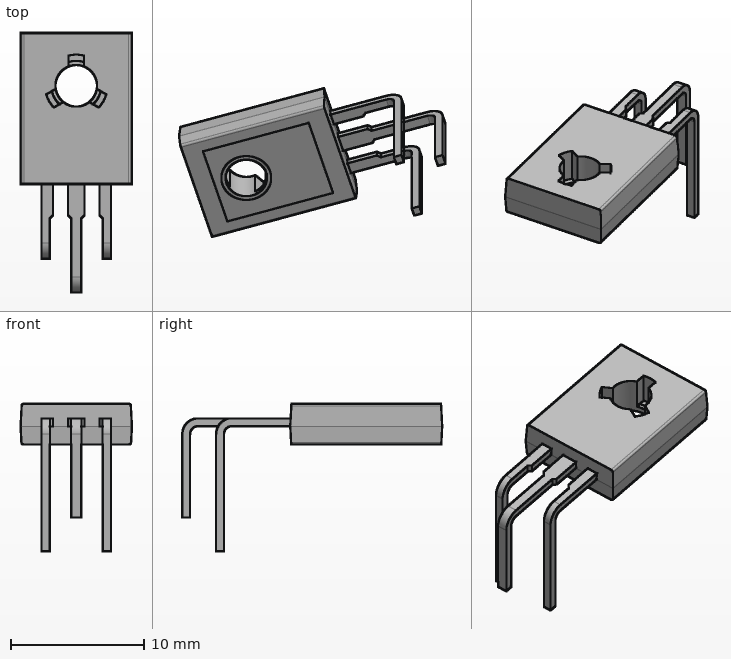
import cadquery as cq
import math

HOUSING_WIDTH = 8.38
HOUSING_LENGTH = 11.43
HOUSING_HEIGHT = 3.07
PARTING_Z = 1.37
DRAFT_ANGLE = 3.0
EDGE_RADIUS = 0.18

HOLE_DIAMETER = 3.1
HOLE_Y = 7.43
NOTCH_COUNT = 3
FIRST_NOTCH_ANGLE = 90.0
NOTCH_WIDTH = 1.13
NOTCH_OUTER_DIAMETER = 4.69

TAB_THICKNESS = 0.5
TAB_WIDTH = 6.25
TAB_MARGIN = 1.56
TAB_LENGTH = HOUSING_LENGTH - 2 * TAB_MARGIN
TAB_HOLE_DIAMETER = 3.75

LEAD_THICKNESS = 0.6
LEAD_EMBED = 0.98
LEAD_BOTTOM_DROP = 8.03
BEND_INNER_RADIUS = 0.59
BEND_OUTER_RADIUS = BEND_INNER_RADIUS + LEAD_THICKNESS
SHOULDER_Y = -2.3
SHOULDER_STEP = 0.23
CENTRE_LEAD_WIDTH = 0.78
SIDE_LEAD_WIDTH = 0.65
SIDE_LEAD_OUTER_X = 2.62
SIDE_LEAD_REACH = 5.57
CENTRE_LEAD_STAGGER = 2.54
CENTRE_LEAD_REACH = SIDE_LEAD_REACH + CENTRE_LEAD_STAGGER


def drafted_half(height):
    """Half of the housing, tapering away from the parting plane; negative height goes down."""
    half = (
        cq.Workplane("XY")
        .rect(HOUSING_WIDTH, HOUSING_LENGTH)
        .extrude(height, taper=DRAFT_ANGLE)
        .translate((0, HOUSING_LENGTH / 2, PARTING_Z))
    )
    end_face = ">Z" if height > 0 else "<Z"
    return half.faces(end_face).edges("|Y").fillet(EDGE_RADIUS)


def upright_cylinder(diameter, bottom_z, top_z):
    """Cylinder on the axis of the mounting hole."""
    return (
        cq.Workplane("XY", origin=(0, HOLE_Y, bottom_z))
        .circle(diameter / 2)
        .extrude(top_z - bottom_z)
    )


def notch_cutter(angle):
    """Radial slot with parallel sides and a round outer end, open to the mounting hole."""
    slot_length = NOTCH_OUTER_DIAMETER / 2
    slot = (
        cq.Workplane("XY", origin=(0, HOLE_Y, TAB_THICKNESS))
        .transformed(rotate=(0, 0, angle))
        .center(slot_length / 2, 0)
        .rect(slot_length, NOTCH_WIDTH)
        .extrude(HOUSING_HEIGHT - TAB_THICKNESS)
    )
    return slot.intersect(upright_cylinder(NOTCH_OUTER_DIAMETER, TAB_THICKNESS, HOUSING_HEIGHT))


def make_tab():
    """Heat-sink plate with a clearance hole around the mounting hole."""
    plate = (
        cq.Workplane("XY", origin=(0, HOUSING_LENGTH / 2, 0))
        .rect(TAB_WIDTH, TAB_LENGTH)
        .extrude(TAB_THICKNESS)
    )
    return plate.cut(upright_cylinder(TAB_HOLE_DIAMETER, 0, TAB_THICKNESS))


def make_lead(left_x, right_x, reach, bottom_z, left_step, right_step):
    """Bent lead whose root is wider than its tip by a shoulder step on either side."""
    bottom_face_z = PARTING_Z
    top_face_z = PARTING_Z + LEAD_THICKNESS
    bend_y = -reach + BEND_OUTER_RADIUS
    bend_z = top_face_z - BEND_OUTER_RADIUS
    diagonal = math.sqrt(0.5)
    outer_mid = (bend_y - BEND_OUTER_RADIUS * diagonal, bend_z + BEND_OUTER_RADIUS * diagonal)
    inner_mid = (bend_y - BEND_INNER_RADIUS * diagonal, bend_z + BEND_INNER_RADIUS * diagonal)
    inner_y = -reach + LEAD_THICKNESS
    full_width = right_x - left_x + left_step + right_step
    strip = (
        cq.Workplane("YZ", origin=(left_x - left_step, 0, 0))
        .moveTo(LEAD_EMBED, top_face_z)
        .lineTo(bend_y, top_face_z)
        .threePointArc(outer_mid, (-reach, bend_z))
        .lineTo(-reach, bottom_z)
        .lineTo(inner_y, bottom_z)
        .lineTo(inner_y, bend_z)
        .threePointArc(inner_mid, (bend_y, bottom_face_z))
        .lineTo(LEAD_EMBED, bottom_face_z)
        .close()
        .extrude(full_width)
    )
    plan = (
        cq.Workplane("XY", origin=(0, 0, bottom_z))
        .polyline([
            (left_x - left_step, LEAD_EMBED),
            (left_x - left_step, SHOULDER_Y),
            (left_x, SHOULDER_Y - SHOULDER_STEP),
            (left_x, -reach),
            (right_x, -reach),
            (right_x, SHOULDER_Y - SHOULDER_STEP),
            (right_x + right_step, SHOULDER_Y),
            (right_x + right_step, LEAD_EMBED),
        ])
        .close()
        .extrude(top_face_z - bottom_z)
    )
    return strip.intersect(plan)


def make_leads():
    """Two side leads with a shoulder towards the middle, and a longer-reaching centre lead."""
    side_bottom_z = -LEAD_BOTTOM_DROP
    side_inner_x = SIDE_LEAD_OUTER_X - SIDE_LEAD_WIDTH
    right = make_lead(side_inner_x, SIDE_LEAD_OUTER_X, SIDE_LEAD_REACH, side_bottom_z, SHOULDER_STEP, 0)
    left = right.mirror("YZ")
    half_width = CENTRE_LEAD_WIDTH / 2
    centre_bottom_z = side_bottom_z + CENTRE_LEAD_STAGGER
    centre = make_lead(
        -half_width, half_width, CENTRE_LEAD_REACH, centre_bottom_z, SHOULDER_STEP, SHOULDER_STEP
    )
    return [left, centre, right]


def make_housing(tab, leads):
    """Moulded housing with its mounting hole, notches and matching recesses for tab and leads."""
    body = drafted_half(HOUSING_HEIGHT - PARTING_Z).union(drafted_half(-PARTING_Z))
    body = body.cut(upright_cylinder(HOLE_DIAMETER, 0, HOUSING_HEIGHT))
    for i in range(NOTCH_COUNT):
        body = body.cut(notch_cutter(FIRST_NOTCH_ANGLE + i * 360 / NOTCH_COUNT))
    for insert in [tab, *leads]:
        body = body.cut(insert)
    return body


tab = make_tab()
leads = make_leads()
housing = make_housing(tab, leads)

result = cq.Compound.makeCompound([housing.val(), tab.val(), *[lead.val() for lead in leads]])